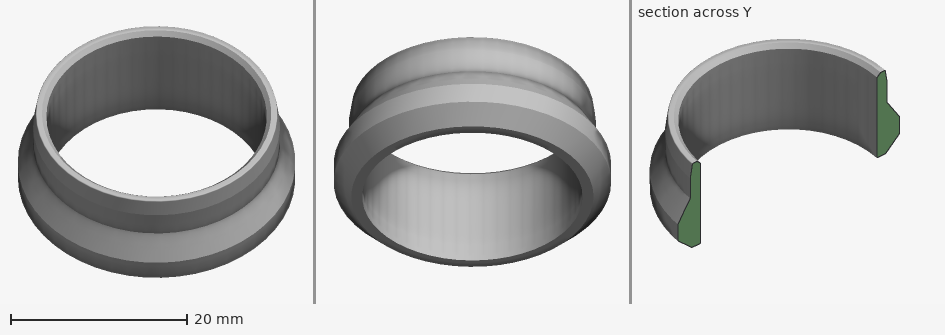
import cadquery as cq

height = 12.5
rim_radius = 31.5 / 2
neck_radius = 28.0 / 2
bore_radius = 25.0 / 2
base_radius = 27.5 / 2
top_radius = 27.4 / 2

base_cone_top = 2.02
rim_top = 4.5
shoulder_top = 7.5
neck_top = 10.5

bore_chamfer = 0.5
top_edge_round = 0.13

half_section = (
    cq.Workplane("XZ")
    .moveTo(bore_radius, 0)
    .lineTo(base_radius, 0)
    .lineTo(rim_radius, base_cone_top)
    .lineTo(rim_radius, rim_top)
    .lineTo(neck_radius, shoulder_top)
    .lineTo(neck_radius, neck_top)
    .lineTo(top_radius, height)
    .lineTo(bore_radius + bore_chamfer, height)
    .lineTo(bore_radius, height - bore_chamfer)
    .close()
)
ring = half_section.revolve(360, (0, 0, 0), (0, 1, 0))

outer_top_edge = cq.selectors.RadiusNthSelector(-1)
result = ring.faces(">Z").edges(outer_top_edge).fillet(top_edge_round)